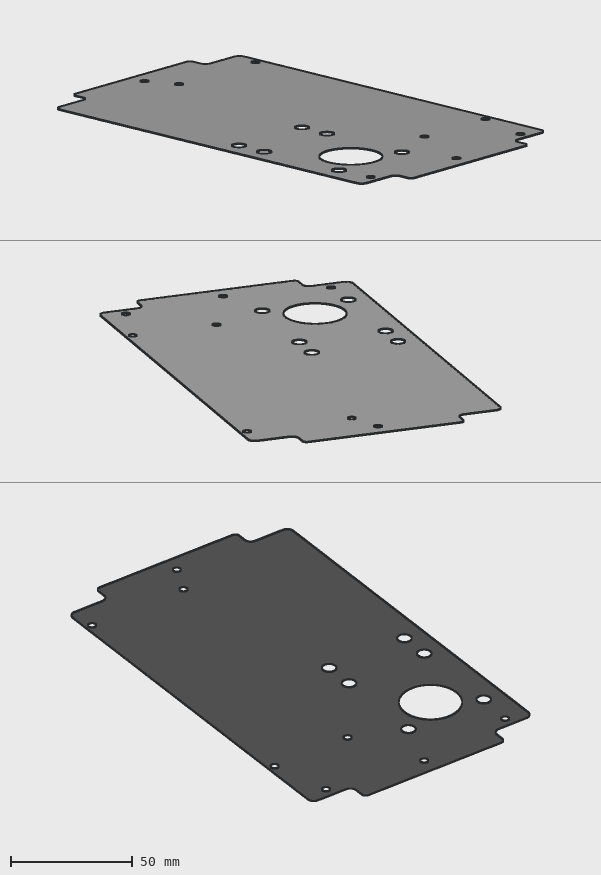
import cadquery as cq

length = 190.0
width = 111.3
thickness = 0.42
body_length = 172.1
ear_width = 71.0

body_corner_radius = 3.0
ear_corner_radius = 1.9
notch_radius = 3.0

small_diameter = 3.5
end_hole_x = 87.4
right_hole_x = 81.3
right_hole_y = 45.2
inner_left_x = -74.0
inner_right_x = 55.1
inner_top_y = 52.5
inner_left_low_y = 6.3
inner_right_low_y = 15.5

small_holes = [
    (-end_hole_x, 0),
    (end_hole_x, 0),
    (right_hole_x, right_hole_y),
    (right_hole_x, -right_hole_y),
    (inner_left_x, inner_top_y),
    (inner_left_x, inner_left_low_y),
    (inner_right_x, inner_top_y),
    (inner_right_x, inner_right_low_y),
]

opening_diameter = 26.0
opening_x = 53.5
opening_y = -27.4
medium_diameter = 6.0
medium_row_offset = 19.0
medium_columns = [8.5, 22.6, 64.6]

medium_holes = [
    (x, opening_y + side * medium_row_offset)
    for x in medium_columns
    for side in (-1, 1)
]


def rounded_plate(size_x, size_y, radius):
    plate = cq.Workplane("XY").rect(size_x, size_y).extrude(thickness)
    return plate.edges("|Z").fillet(radius)


def cut_holes(plate, centres, diameter):
    cutters = cq.Workplane("XY").pushPoints(centres).circle(diameter / 2).extrude(thickness)
    return plate.cut(cutters)


def round_notches(plate):
    """Round the four inside corners where the ears meet the body."""
    corners = cq.selectors.BoxSelector(
        (-body_length / 2 - notch_radius / 2, -ear_width / 2 - notch_radius / 2, -thickness),
        (body_length / 2 + notch_radius / 2, ear_width / 2 + notch_radius / 2, 2 * thickness),
    )
    return plate.edges("|Z").edges(corners).fillet(notch_radius)


body = rounded_plate(body_length, width, body_corner_radius)
ears = rounded_plate(length, ear_width, ear_corner_radius)
result = round_notches(body.union(ears))

result = cut_holes(result, small_holes, small_diameter)
result = cut_holes(result, medium_holes, medium_diameter)
result = cut_holes(result, [(opening_x, opening_y)], opening_diameter)

result = result.translate((0, 0, -thickness / 2))